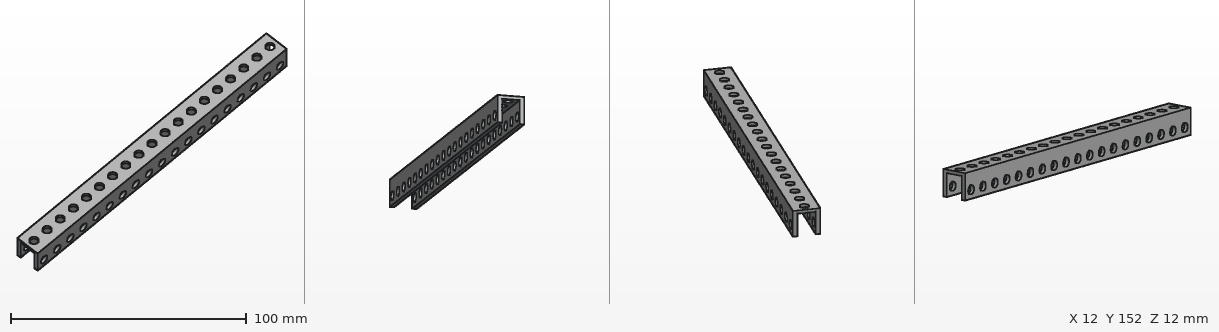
import cadquery as cq

length = 152.0
hole_count = 19
hole_pitch = length / hole_count
hole_diameter = hole_pitch / 2
edge_distance = hole_pitch / 2

width = 1.5 * hole_pitch
height = width
leg_thickness = hole_pitch / 4
web_thickness = 1.5


def bar(bar_width, bar_height):
    """A full-length bar centred on the Y axis and standing on Z = 0."""
    return cq.Workplane("XY").box(bar_width, length, bar_height, centered=(True, True, False))


def hole_row(plane, centres, depth):
    """Cylinders at the given centres, running along the plane's normal."""
    return cq.Workplane(plane).pushPoints(centres).circle(hole_diameter / 2).extrude(depth)


channel = bar(width, height).cut(bar(width - 2 * leg_thickness, height - web_thickness))

first_hole = -length / 2 + edge_distance
hole_positions = [first_hole + i * hole_pitch for i in range(hole_count)]

web_holes = hole_row("XY", [(0, y) for y in hole_positions], height)

left_side = cq.Plane.YZ(origin=(-width / 2, 0, 0))
leg_holes = hole_row(left_side, [(y, edge_distance) for y in hole_positions], width)

result = channel.cut(web_holes).cut(leg_holes)